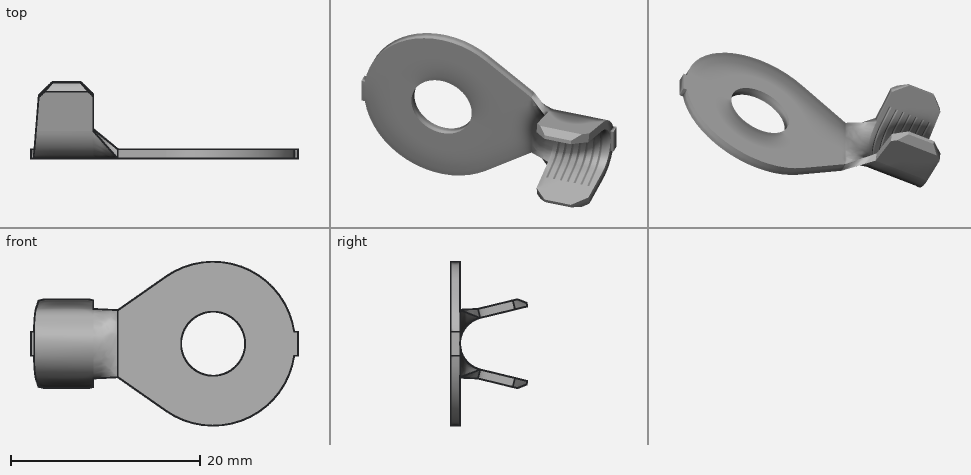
import cadquery as cq
import math


thickness = 1.0
ring_radius = 8.68
hole_diameter = 6.75
neck_x = -10.06
neck_half_width = 3.56

tab_width = 2.55
tab_left_x = -19.26
tab_right_x = 8.98

barrel_right_x = -12.67
barrel_left_x = -18.98
inner_radius = 2.8
outer_radius = inner_radius + thickness
flare_angle = 13.7
overall_depth = 8.13
end_lean_angle = 4.6

bevel_length = 0.85
bevel_depth = 0.6
corner_chamfer = 1.35

serration_count = 7
serration_pitch = 0.77
serration_width = 0.25
serration_depth = 0.1
serration_first_x = -17.9
serration_top_y = 5.2

flare_sin = math.sin(math.radians(flare_angle))
flare_cos = math.cos(math.radians(flare_angle))
inner_tangent_y = outer_radius - inner_radius * flare_sin
end_lean = math.tan(math.radians(end_lean_angle))
arm_length = (overall_depth - inner_tangent_y) / flare_cos


def arc_point(radius, side):
    """(Y, Z) where the round floor of the given radius meets the arm on one side."""
    return (outer_radius - radius * flare_sin, side * radius * flare_cos)


def arm_point(radius, distance, side):
    """(Y, Z) at a distance up the arm, on the line tangent to the floor of the given radius."""
    y, z = arc_point(radius, side)
    return (y + distance * flare_cos, z + side * distance * flare_sin)


def floor_bottom(radius):
    """(Y, Z) of the lowest point of the round floor of the given radius."""
    return (outer_radius - radius, 0)


def ring_plate():
    """Round plate with two straight edges tangent to it that run down to the neck."""
    neck_distance = math.hypot(neck_x, neck_half_width)
    neck_direction = math.atan2(neck_half_width, neck_x)
    tangent_direction = neck_direction - math.acos(ring_radius / neck_distance)
    tangent_x = ring_radius * math.cos(tangent_direction)
    tangent_z = ring_radius * math.sin(tangent_direction)
    return (
        cq.Workplane("XZ")
        .moveTo(neck_x, -neck_half_width)
        .lineTo(tangent_x, -tangent_z)
        .threePointArc((ring_radius, 0), (tangent_x, tangent_z))
        .lineTo(neck_x, neck_half_width)
        .close()
        .extrude(-thickness)
    )


def tab(start_x, end_x):
    """Flat strip of sheet along X, centred on the part."""
    length = end_x - start_x
    stub = cq.Workplane("XY").box(length, thickness, tab_width, centered=(False, False, True))
    return stub.translate((start_x, 0, 0))


def barrel_blank():
    """U-shaped section with bevelled arm tips, extruded along X past the leaning end."""
    bevel_start = arm_length - bevel_length
    tip_radius = outer_radius - bevel_depth
    return (
        cq.Workplane("YZ", origin=(tab_left_x, 0, 0))
        .moveTo(*arm_point(inner_radius, arm_length, 1))
        .lineTo(*arm_point(tip_radius, arm_length, 1))
        .lineTo(*arm_point(outer_radius, bevel_start, 1))
        .lineTo(*arc_point(outer_radius, 1))
        .threePointArc(floor_bottom(outer_radius), arc_point(outer_radius, -1))
        .lineTo(*arm_point(outer_radius, bevel_start, -1))
        .lineTo(*arm_point(tip_radius, arm_length, -1))
        .lineTo(*arm_point(inner_radius, arm_length, -1))
        .lineTo(*arc_point(inner_radius, -1))
        .threePointArc(floor_bottom(inner_radius), arc_point(inner_radius, 1))
        .close()
        .extrude(barrel_right_x - tab_left_x)
    )


def leaning_end_cutter():
    """Wedge that trims the free end of the barrel so that it leans toward the ring."""
    waste_x = tab_left_x - thickness
    top_x = barrel_left_x + overall_depth * end_lean
    return (
        cq.Workplane("XY", origin=(0, 0, -ring_radius))
        .polyline([(waste_x, 0), (barrel_left_x, 0), (top_x, overall_depth), (waste_x, overall_depth)])
        .close()
        .extrude(2 * ring_radius)
    )


def corner_cutter(edge_x, toward_middle, side):
    """Triangular prism, square to one arm, that chamfers one corner of its tip."""
    tip_y, tip_z = arm_point(inner_radius, arm_length, side)
    arm_plane = cq.Plane(
        origin=(edge_x, tip_y, tip_z),
        xDir=(1, 0, 0),
        normal=(0, -flare_sin, side * flare_cos),
    )
    reach = 2 * corner_chamfer
    corner = [
        (-toward_middle * corner_chamfer, -side * reach),
        (-toward_middle * corner_chamfer, side * corner_chamfer),
        (toward_middle * reach, side * corner_chamfer),
    ]
    return cq.Workplane(arm_plane).polyline(corner).close().extrude(thickness * 2, both=True)


def serration(center_x):
    """V-shaped groove that follows the inside of the barrel from arm to arm."""
    groove_run = (serration_top_y - inner_tangent_y) / flare_cos
    path = (
        cq.Workplane("YZ", origin=(center_x, 0, 0))
        .moveTo(*arm_point(inner_radius, groove_run, 1))
        .lineTo(*arc_point(inner_radius, 1))
        .threePointArc(floor_bottom(inner_radius), arc_point(inner_radius, -1))
        .lineTo(*arm_point(inner_radius, groove_run, -1))
    )
    start_y, start_z = arm_point(inner_radius, groove_run, 1)
    start_plane = cq.Plane(
        origin=(center_x, start_y, start_z),
        xDir=(1, 0, 0),
        normal=(0, -flare_cos, -flare_sin),
    )
    half_width = serration_width / 2
    vee = [(-half_width, 0), (half_width, 0), (0, serration_depth)]
    return cq.Workplane(start_plane).polyline(vee).close().sweep(path)


def barrel():
    """Crimp barrel with its leaning end, chamfered arm corners and serrations."""
    body = barrel_blank().cut(leaning_end_cutter())
    tip_left_x = barrel_left_x + overall_depth * end_lean
    for side in (1, -1):
        body = body.cut(corner_cutter(tip_left_x, 1, side))
        body = body.cut(corner_cutter(barrel_right_x, -1, side))
    for index in range(serration_count):
        body = body.cut(serration(serration_first_x + index * serration_pitch))
    return body


def transition():
    """Loft from the round floor of the barrel to the flat section at the neck."""
    round_section = (
        cq.Workplane("YZ", origin=(barrel_right_x, 0, 0))
        .moveTo(*arc_point(outer_radius, -1))
        .threePointArc(floor_bottom(outer_radius), arc_point(outer_radius, 1))
        .lineTo(*arc_point(inner_radius, 1))
        .threePointArc(floor_bottom(inner_radius), arc_point(inner_radius, -1))
        .close()
    )
    flat_section = (
        cq.Workplane("YZ", origin=(neck_x, 0, 0))
        .moveTo(0, -neck_half_width)
        .lineTo(0, neck_half_width)
        .lineTo(thickness, neck_half_width)
        .lineTo(thickness, -neck_half_width)
        .close()
    )
    return cq.Workplane(cq.Solid.makeLoft([round_section.val(), flat_section.val()], True))


stud_hole = cq.Workplane("XZ").circle(hole_diameter / 2).extrude(-thickness)

result = (
    ring_plate()
    .union(tab(0, tab_right_x))
    .cut(stud_hole)
    .union(transition())
    .union(barrel())
    .union(tab(tab_left_x, barrel_left_x + thickness * end_lean))
)